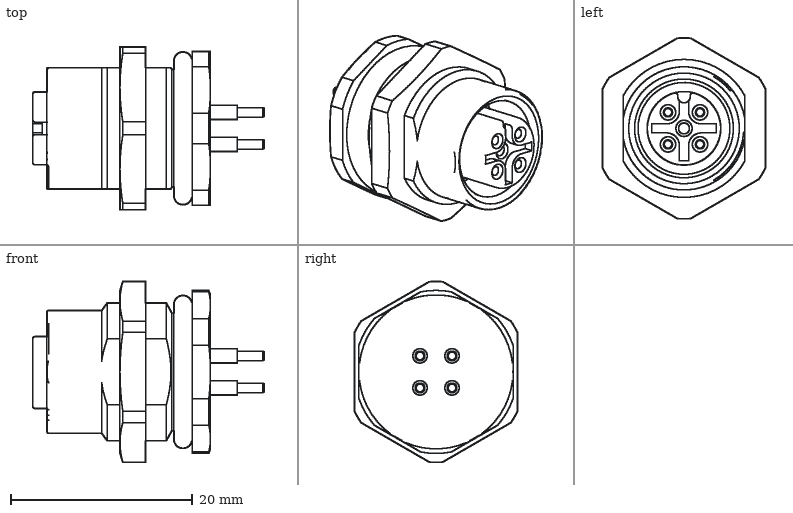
import cadquery as cq
import math


SLEEVE_START = 1.6
SLEEVE_END = 7.63
THREAD_START = 8.25
NUT_START = 9.65
NUT_END = 12.5
THREAD_END = 14.77
NECK_START = 15.39
FLANGE_START = 17.6
FLANGE_END = 19.64
PIN_STEP = 22.6
PIN_END = 25.6

SLEEVE_DIA = 13.6
SLEEVE_EDGE_FILLET = 0.2
THREAD_DIA = 15.23
NECK_DIA = 13.0
FLATS_WIDTH = 13.4

MOUTH_DIA = 12.2
MOUTH_RELIEF = 0.1
MOUTH_RELIEF_DEPTH = 0.15
CAVITY_DIA = 10.9
CAVITY_TAPER_END = 2.2
CAVITY_FLOOR = 8.2

NUT_FLATS = 18.0
NUT_CORNER_DIA = 20.0
NUT_BEVEL = 0.3
FLANGE_FLATS = 17.0
FLANGE_CORNER_DIA = 18.0
FLANGE_BEVEL = 0.18

OUTER_SEAL_START = 15.6
OUTER_SEAL_OD = 16.9
INNER_SEAL_TUBE = 1.0
INNER_SEAL_OD = 10.15

INSERT_DIA = 8.1
INSERT_EDGE_FILLET = 0.3
SLOT_WIDTH = 1.0
SLOT_LENGTH = 7.1
SLOT_FLOOR = 1.08
SLOT_CORNER_RADIUS = 1.4
KEY_WIDTH = 1.38
KEY_BOTTOM = 2.82
KEY_EDGE_FILLET = 0.3

CONTACT_OFFSET = 1.77
CONTACT_MOUTH_DIA = 1.7
CONTACT_HOLE_DIA = 1.0
CONTACT_BORE_DIA = 0.85
CONTACT_LEAD_DEPTH = 2.05
CONTACT_BORE_DEPTH = 3.85
CONTACT_TIP_DEPTH = 0.3
CENTRE_MOUTH_DIA = 1.8
CENTRE_HOLE_DIA = 1.2
CENTRE_HOLE_DEPTH = 1.54

PIN_DIA = 1.6
PIN_TIP_DIA = 1.08
PIN_TIP_BEVEL = 0.1
PIN_TIP_BEVEL_LENGTH = 0.2

CONTACT_POSITIONS = [
    (y_sign * CONTACT_OFFSET, z_sign * CONTACT_OFFSET)
    for y_sign in (-1, 1)
    for z_sign in (-1, 1)
]


def turned(points):
    """Solid of revolution about X from (x, radius) points."""
    return cq.Workplane("XY").polyline(points).close().revolve(360, (0, 0, 0), (1, 0, 0))


def hexagon(across_flats, start, end):
    """Hexagonal prism with two flats facing +Y and -Y."""
    across_corners = across_flats / math.cos(math.radians(30))
    prism = cq.Workplane("YZ").workplane(offset=start).polygon(6, across_corners).extrude(end - start)
    return prism.rotate((0, 0, 0), (1, 0, 0), 30)


def make_body():
    """Sleeve, thread and neck, with flats on the +Y and -Y sides."""
    sleeve_radius = SLEEVE_DIA / 2
    thread_radius = THREAD_DIA / 2
    neck_radius = NECK_DIA / 2
    body = turned([
        (SLEEVE_START, 0),
        (SLEEVE_START, sleeve_radius),
        (SLEEVE_END, sleeve_radius),
        (THREAD_START, thread_radius),
        (THREAD_END, thread_radius),
        (NECK_START, neck_radius),
        (OUTER_SEAL_START, neck_radius),
        (OUTER_SEAL_START, 0),
    ])
    body = body.faces("<X").edges().fillet(SLEEVE_EDGE_FILLET)
    flats = cq.Workplane("XY").box(2 * PIN_END, FLATS_WIDTH, 2 * THREAD_DIA)
    return body.intersect(flats)


def make_cavity():
    """Round socket space that narrows just inside its mouth."""
    mouth_radius = MOUTH_DIA / 2
    return turned([
        (SLEEVE_START, 0),
        (SLEEVE_START, mouth_radius),
        (SLEEVE_START + MOUTH_RELIEF_DEPTH, mouth_radius - MOUTH_RELIEF),
        (CAVITY_TAPER_END, CAVITY_DIA / 2),
        (CAVITY_FLOOR, CAVITY_DIA / 2),
        (CAVITY_FLOOR, 0),
    ])


def make_nut():
    """Hexagon nut, corners bevelled on the mating side."""
    corner_radius = NUT_CORNER_DIA / 2
    envelope = turned([
        (NUT_START, 0),
        (NUT_START, NUT_FLATS / 2),
        (NUT_START + NUT_BEVEL, corner_radius),
        (NUT_END, corner_radius),
        (NUT_END, 0),
    ])
    return hexagon(NUT_FLATS, NUT_START, NUT_END).intersect(envelope)


def make_outer_seal():
    """Disc with a full-round rim, filling the space between neck and flange."""
    rim_radius = (FLANGE_START - OUTER_SEAL_START) / 2
    outer_radius = OUTER_SEAL_OD / 2
    profile = (
        cq.Workplane("XY")
        .moveTo(OUTER_SEAL_START, 0)
        .lineTo(OUTER_SEAL_START, outer_radius - rim_radius)
        .threePointArc(
            (OUTER_SEAL_START + rim_radius, outer_radius),
            (FLANGE_START, outer_radius - rim_radius))
        .lineTo(FLANGE_START, 0)
        .close()
    )
    return profile.revolve(360, (0, 0, 0), (1, 0, 0))


def make_inner_seal():
    """Round-section ring, half sunk into the cavity floor."""
    centre_radius = (INNER_SEAL_OD - INNER_SEAL_TUBE) / 2
    section = cq.Workplane("XY").center(CAVITY_FLOOR, centre_radius).circle(INNER_SEAL_TUBE / 2)
    return section.revolve(360, (0, -centre_radius, 0), (1, -centre_radius, 0))


def make_flange():
    """Hexagon flange, corners bevelled on the pin side."""
    corner_radius = FLANGE_CORNER_DIA / 2
    envelope = turned([
        (FLANGE_START, 0),
        (FLANGE_START, corner_radius),
        (FLANGE_END - FLANGE_BEVEL, corner_radius),
        (FLANGE_END, FLANGE_FLATS / 2),
        (FLANGE_END, 0),
    ])
    return hexagon(FLANGE_FLATS, FLANGE_START, FLANGE_END).intersect(envelope)


def make_slots():
    """Cross-shaped recess with rounded inner corners."""
    arm_y = cq.Workplane("YZ").rect(SLOT_LENGTH, SLOT_WIDTH).extrude(SLOT_FLOOR)
    arm_z = cq.Workplane("YZ").rect(SLOT_WIDTH, SLOT_LENGTH).extrude(SLOT_FLOOR)
    cross = arm_y.union(arm_z)
    inner_corners = cq.selectors.BoxSelector(
        (-PIN_END, -SLOT_WIDTH, -SLOT_WIDTH), (PIN_END, SLOT_WIDTH, SLOT_WIDTH))
    return cross.edges("|X").edges(inner_corners).fillet(SLOT_CORNER_RADIUS)


def make_contact_socket():
    """Stepped contact hole with a countersunk mouth and a pointed bottom."""
    mouth_radius = CONTACT_MOUTH_DIA / 2
    hole_radius = CONTACT_HOLE_DIA / 2
    bore_radius = CONTACT_BORE_DIA / 2
    return turned([
        (0, 0),
        (0, mouth_radius),
        (mouth_radius - hole_radius, hole_radius),
        (CONTACT_LEAD_DEPTH, hole_radius),
        (CONTACT_LEAD_DEPTH, bore_radius),
        (CONTACT_BORE_DEPTH, bore_radius),
        (CONTACT_BORE_DEPTH + CONTACT_TIP_DEPTH, 0),
    ])


def make_centre_socket():
    """Countersunk blind hole in the floor of the cross recess."""
    mouth_radius = CENTRE_MOUTH_DIA / 2
    hole_radius = CENTRE_HOLE_DIA / 2
    return turned([
        (SLOT_FLOOR, 0),
        (SLOT_FLOOR, mouth_radius),
        (SLOT_FLOOR + mouth_radius - hole_radius, hole_radius),
        (SLOT_FLOOR + CENTRE_HOLE_DEPTH, hole_radius),
        (SLOT_FLOOR + CENTRE_HOLE_DEPTH, 0),
    ])


def make_insert():
    """Contact carrier with a keyway along its top, the cross recess and the contact holes."""
    insert = cq.Workplane("YZ").circle(INSERT_DIA / 2).extrude(CAVITY_FLOOR)
    key_radius = KEY_WIDTH / 2
    key_centre = KEY_BOTTOM + key_radius
    keyway = cq.Workplane("YZ").center(0, key_centre).circle(key_radius).extrude(CAVITY_FLOOR)
    keyway_mouth = cq.Workplane("YZ").center(0, key_centre + key_radius).rect(KEY_WIDTH, KEY_WIDTH)
    insert = insert.cut(keyway).cut(keyway_mouth.extrude(CAVITY_FLOOR))
    insert = insert.edges("|X").edges(">Z").fillet(KEY_EDGE_FILLET)
    insert = insert.faces("<X").edges().fillet(INSERT_EDGE_FILLET)
    insert = insert.cut(make_slots()).cut(make_centre_socket())
    socket = make_contact_socket()
    for y, z in CONTACT_POSITIONS:
        insert = insert.cut(socket.translate((0, y, z)))
    return insert


def make_pin():
    """Stepped solder pin with a bevelled tip."""
    tip_radius = PIN_TIP_DIA / 2
    return turned([
        (FLANGE_END, 0),
        (FLANGE_END, PIN_DIA / 2),
        (PIN_STEP, PIN_DIA / 2),
        (PIN_STEP, tip_radius),
        (PIN_END - PIN_TIP_BEVEL_LENGTH, tip_radius),
        (PIN_END, tip_radius - PIN_TIP_BEVEL),
        (PIN_END, 0),
    ])


result = make_body().union(make_nut()).union(make_outer_seal()).union(make_flange())
result = result.cut(make_cavity()).union(make_insert()).union(make_inner_seal())
pin = make_pin()
for y, z in CONTACT_POSITIONS:
    result = result.union(pin.translate((0, y, z)))